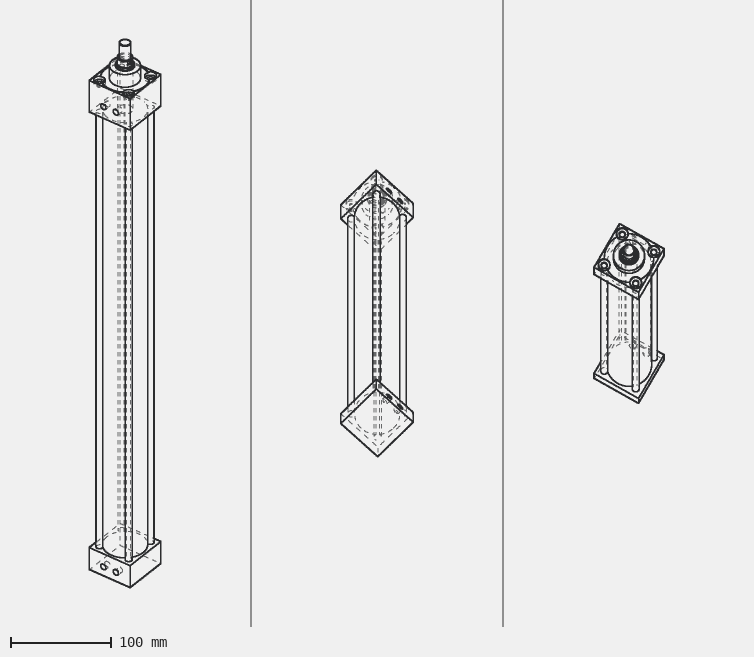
import cadquery as cq
import math

TOTAL_HEIGHT = 644.5
CAP_SIDE = 51.0
REAR_CAP_HEIGHT = 27.0
HEAD_HEIGHT = 38.5
HEAD_TOP = 601.5
HEAD_BOTTOM = HEAD_TOP - HEAD_HEIGHT

BARREL_RADIUS = 22.5
TIE_ROD_RADIUS = 3.55
CORNER_OFFSET = 18.0

COLLAR_RADIUS = 15.5
COLLAR_HEIGHT = 15.0
LIP_RADIUS = 9.5
LIP_HEIGHT = 2.5
LIP_TOP_RADIUS = 8.5
LIP_TAPER_HEIGHT = 1.0
FACE_RECESS_RADIUS = 24.5
FACE_RECESS_DEPTH = 0.5
SCREW_HOLE_RADIUS = 6.0
SCREW_HOLE_DEPTH = 4.0
PILOT_RADIUS = 2.9
PILOT_DEPTH = 3.0

PORT_RADIUS = 3.0
PORT_DEPTH = 6.5
PORT_OFFSET = 8.0
HEAD_PORT_HEIGHT = 14.0
HEAD_PORT_Z = HEAD_BOTTOM + HEAD_PORT_HEIGHT
REAR_PORT_Z = 11.0

DRILL_POINT_ANGLE = 118.0

ROD_RADIUS = 8.0
ROD_SHOULDER_Z = 626.5
ROD_TIP_RADIUS = 6.0
TIP_CHAMFER = 0.5
FLAT_HALF_WIDTH = 6.5
FLAT_HEIGHT = 4.0
SHOULDER_RIM = 0.5
FLAT_TOP = ROD_SHOULDER_Z - SHOULDER_RIM

CORNERS = [(sx * CORNER_OFFSET, sy * CORNER_OFFSET) for sx in (-1, 1) for sy in (-1, 1)]


def cylinder(radius, bottom, height):
    """Upright cylinder on the Z axis."""
    return cq.Workplane("XY", origin=(0, 0, bottom)).circle(radius).extrude(height)


def corner_cylinders(radius, bottom, height):
    """Four upright cylinders, one on each tie rod axis."""
    return cq.Workplane("XY", origin=(0, 0, bottom)).pushPoints(CORNERS).circle(radius).extrude(height)


def square_block(bottom, height):
    """Square cap block centred on the Z axis."""
    return cq.Workplane("XY", origin=(0, 0, bottom)).rect(CAP_SIDE, CAP_SIDE).extrude(height)


def drilled_hole(radius, depth, mouth, direction):
    """Cutter for a blind hole that ends in a conical drill point."""
    point_depth = radius / math.tan(math.radians(DRILL_POINT_ANGLE / 2))
    bore = cq.Solid.makeCylinder(radius, depth, mouth, direction)
    point = cq.Solid.makeCone(radius, 0, point_depth, mouth + direction * depth, direction)
    return cq.Workplane(bore).union(cq.Workplane(point))


def cut_ports(block, port_z):
    """Two blind ports drilled from the -Y face."""
    for x in (-PORT_OFFSET, PORT_OFFSET):
        mouth = cq.Vector(x, -CAP_SIDE / 2, port_z)
        block = block.cut(drilled_hole(PORT_RADIUS, PORT_DEPTH, mouth, cq.Vector(0, 1, 0)))
    return block


def make_rear_cap():
    """Plain square cap with its pair of ports."""
    return cut_ports(square_block(0, REAR_CAP_HEIGHT), REAR_PORT_Z)


def make_barrel():
    """Barrel between the caps, joined along its length to the four tie rods."""
    length = HEAD_BOTTOM - REAR_CAP_HEIGHT
    barrel = cylinder(BARREL_RADIUS, REAR_CAP_HEIGHT, length)
    return barrel.union(corner_cylinders(TIE_ROD_RADIUS, REAR_CAP_HEIGHT, length))


def make_head():
    """Square head with a collar, corner screw holes, ports and the rod bore."""
    head = square_block(HEAD_BOTTOM, HEAD_HEIGHT)
    recess_floor = HEAD_TOP - FACE_RECESS_DEPTH
    head = head.cut(cylinder(FACE_RECESS_RADIUS, recess_floor, FACE_RECESS_DEPTH))

    collar_height = COLLAR_HEIGHT + FACE_RECESS_DEPTH
    head = head.union(cylinder(COLLAR_RADIUS, recess_floor, collar_height))
    lip = cylinder(LIP_RADIUS, recess_floor, collar_height + LIP_HEIGHT)
    lip = lip.faces(">Z").chamfer(LIP_TAPER_HEIGHT, LIP_RADIUS - LIP_TOP_RADIUS)
    head = head.union(lip)

    screw_floor = HEAD_TOP - SCREW_HOLE_DEPTH
    head = head.cut(corner_cylinders(SCREW_HOLE_RADIUS, screw_floor, SCREW_HOLE_DEPTH))
    for x, y in CORNERS:
        pilot = drilled_hole(PILOT_RADIUS, PILOT_DEPTH, cq.Vector(x, y, screw_floor), cq.Vector(0, 0, -1))
        head = head.cut(pilot)

    head = head.cut(cylinder(ROD_RADIUS, HEAD_BOTTOM, TOTAL_HEIGHT - HEAD_BOTTOM))
    return cut_ports(head, HEAD_PORT_Z)


def make_piston_rod():
    """Rod from the barrel through the head, with two wrench flats and a thinner tip."""
    rod = cylinder(ROD_RADIUS, HEAD_BOTTOM, ROD_SHOULDER_Z - HEAD_BOTTOM)
    flat_bottom = FLAT_TOP - FLAT_HEIGHT
    for side in (-1, 1):
        waste = cq.Workplane("XY", origin=(side * (FLAT_HALF_WIDTH + ROD_RADIUS), 0, flat_bottom))
        waste = waste.rect(2 * ROD_RADIUS, 2 * ROD_RADIUS).extrude(FLAT_HEIGHT)
        rod = rod.cut(waste)
    tip = cylinder(ROD_TIP_RADIUS, ROD_SHOULDER_Z, TOTAL_HEIGHT - ROD_SHOULDER_Z)
    tip = tip.faces(">Z").chamfer(TIP_CHAMFER)
    return rod.union(tip)


rear_cap = make_rear_cap()
barrel = make_barrel()
head = make_head()
piston_rod = make_piston_rod()

result = cq.Compound.makeCompound([rear_cap.val(), barrel.val(), head.val(), piston_rod.val()])